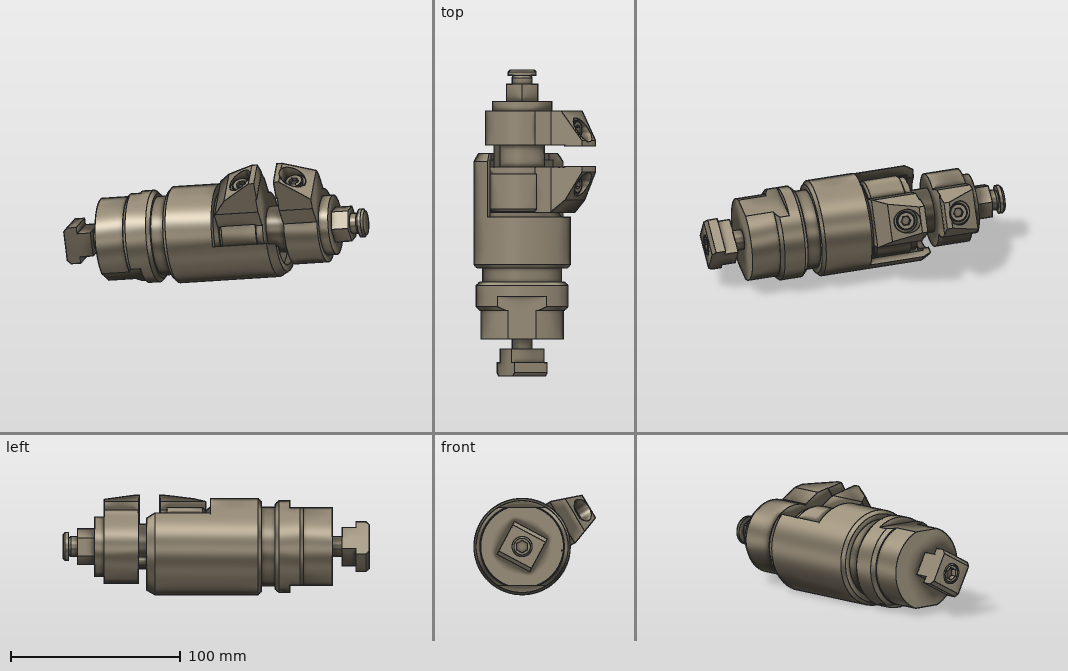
import cadquery as cq
import math


LENGTH = 180.6

ROD_RADIUS = 6.0
ROD_CHAMFER = 1.0
ROD_SOCKET_FLATS = 6.5
ROD_SOCKET_DEPTH = 3.6
CAP_RADIUS = 8.3
CAP_THICKNESS = 3.3
CAP_CHAMFER = 1.3
CAP_GROOVE_RADIUS = 5.2
CAP_GROOVE_LENGTH = 1.5

TNUT_SIDE = 21.9
TNUT_HEAD_HEIGHT = 8.0
TNUT_HEIGHT = 16.0
TNUT_NECK_WIDTH = 14.1
TNUT_CHAMFER = 2.2
TNUT_ANGLE = 28

HOUSING_DIAMETER = 56.9
HOUSING_RADIUS = HOUSING_DIAMETER / 2
HOUSING_START = 21.9
HOUSING_END = 131.3
SHANK_RADIUS = 24.4
FLAT_OFFSET = 23.0
FLAT_END = 47.0
FLANGE_RADIUS = 27.1
FLANGE_START = 38.8
FLANGE_END = 55.6
FLANGE_CHAMFER = 2.2
GROOVE_RADIUS = 23.3
BARREL_START = 63.8
BARREL_CHAMFER = 2.0
MOUTH_CHAMFER_RADIAL = 2.7
MOUTH_CHAMFER_LENGTH = 4.9
BORE_RADIUS = 23.5
BORE_FLOOR = 93.8
LIP_RADIUS = 21.9
LIP_LENGTH = 3.8
WINDOW_SILL_Z = -15.0
WINDOW_CORNER_X = -11.0
WINDOW_LEAN = 15

ARM_ANGLE = 31
EYE_RADIUS = 21.7
ARM_HALF_WIDTH = 14.1
ARM_ROOT = 17.2
ARM_TAPER_START = 28.4
TIP_REACH = 45.9
TIP_HALF_WIDTH = 7.8
TIP_THICKNESS = 3.3
PAD_START = 36.0
PAD_HEIGHT = 0.5

LOWER_GRIP = 123.7
LOWER_BACK = 96.5
LOWER_NOSE_SLOPE = 30
LOWER_SCREW_Y = 113.3
LOWER_CHAMFER_START = 27.6
LOWER_CHAMFER_TOP = 103.9
HUB_RADIUS = 23.1
HUB_END = 119.2
HUB_CHAMFER = 2.0
NECK_RADIUS = 13.2

UPPER_GRIP = 135.7
UPPER_BACK = 156.5
UPPER_NOSE_SLOPE = 34
UPPER_SCREW_Y = 145.2

COUNTERBORE_RADIUS = 7.0
COUNTERBORE_FLOOR = 36.3
SCREW_RADIUS = 5.5
SCREW_LENGTH = 7.2
SCREW_HEAD = 38.3
SCREW_CHAMFER = 0.5
SCREW_SOCKET_FLATS = 5.0
SCREW_SOCKET_DEPTH = 2.7

WASHER_RADIUS = 17.5
WASHER_THICKNESS = 5.6
NUT_CORNER_RADIUS = 10.7
NUT_HEIGHT = 10.1
NUT_ANGLE = 1
PIN_RADIUS = 2.3
PIN_OFFSET = 16.6
PIN_DEPTH = 5.5

LOWER_TOP = LOWER_GRIP - PAD_HEIGHT
UPPER_BOTTOM = UPPER_GRIP + PAD_HEIGHT
WASHER_END = UPPER_BACK + WASHER_THICKNESS
NUT_END = WASHER_END + NUT_HEIGHT
CLEAR = 2 * HOUSING_RADIUS
POINT_UP = 30


def turned(profile):
    """Solid of revolution about Y from (radius, y) points."""
    return cq.Workplane("XY").polyline(profile).close().revolve(360, (0, 0, 0), (0, 1, 0))


def cylinder(radius, start, end, x=0, z=0):
    """Cylinder along Y."""
    return cq.Workplane("XZ", origin=(0, start, 0)).center(x, z).circle(radius).extrude(start - end)


def prism(outline, start, end):
    """Outline of (x, z) points, extruded along Y."""
    return cq.Workplane("XZ", origin=(0, start, 0)).polyline(outline).close().extrude(start - end)


def turned_about_y(body, angle):
    """Body turned about Y, positive from +X towards +Z."""
    return body.rotate((0, 0, 0), (0, 1, 0), -angle)


def hexagon(workplane, across_flats):
    """Hexagon sketch of the given size across its flats."""
    return workplane.polygon(6, across_flats / math.cos(math.pi / 6))


def make_spindle():
    cap_start = LENGTH - CAP_THICKNESS
    profile = [
        (0, 0),
        (ROD_RADIUS - ROD_CHAMFER, 0),
        (ROD_RADIUS, ROD_CHAMFER),
        (ROD_RADIUS, cap_start - CAP_GROOVE_LENGTH),
        (CAP_GROOVE_RADIUS, cap_start),
        (CAP_RADIUS, cap_start),
        (CAP_RADIUS, LENGTH - CAP_CHAMFER),
        (CAP_RADIUS - CAP_CHAMFER, LENGTH),
        (0, LENGTH),
    ]
    socket = hexagon(cq.Workplane("XZ"), ROD_SOCKET_FLATS).extrude(-ROD_SOCKET_DEPTH)
    socket = turned_about_y(socket, POINT_UP)
    return turned(profile).cut(socket)


def make_tnut():
    half = TNUT_SIDE / 2
    neck = TNUT_NECK_WIDTH / 2
    section = [
        (0, -half + TNUT_CHAMFER),
        (0, half - TNUT_CHAMFER),
        (TNUT_CHAMFER, half),
        (TNUT_HEAD_HEIGHT, half),
        (TNUT_HEAD_HEIGHT, neck),
        (TNUT_HEIGHT, neck),
        (TNUT_HEIGHT, -neck),
        (TNUT_HEAD_HEIGHT, -neck),
        (TNUT_HEAD_HEIGHT, -half),
        (TNUT_CHAMFER, -half),
    ]
    block = cq.Workplane("YZ", origin=(-half, 0, 0)).polyline(section).close().extrude(TNUT_SIDE)
    block = turned_about_y(block, -TNUT_ANGLE)
    return block.cut(cylinder(ROD_RADIUS, 0, TNUT_HEIGHT))


def make_housing():
    outside = [
        (ROD_RADIUS, HOUSING_START),
        (SHANK_RADIUS, HOUSING_START),
        (SHANK_RADIUS, FLANGE_START),
        (FLANGE_RADIUS - FLANGE_CHAMFER, FLANGE_START),
        (FLANGE_RADIUS, FLANGE_START + FLANGE_CHAMFER),
        (FLANGE_RADIUS, FLANGE_END - FLANGE_CHAMFER),
        (FLANGE_RADIUS - FLANGE_CHAMFER, FLANGE_END),
        (GROOVE_RADIUS, FLANGE_END),
        (GROOVE_RADIUS, BARREL_START),
        (HOUSING_RADIUS - BARREL_CHAMFER, BARREL_START),
        (HOUSING_RADIUS, BARREL_START + BARREL_CHAMFER),
        (HOUSING_RADIUS, HOUSING_END - MOUTH_CHAMFER_LENGTH),
        (HOUSING_RADIUS - MOUTH_CHAMFER_RADIAL, HOUSING_END),
    ]
    bore = [
        (LIP_RADIUS, HOUSING_END),
        (LIP_RADIUS, HOUSING_END - LIP_LENGTH),
        (BORE_RADIUS, HOUSING_END - LIP_LENGTH),
        (BORE_RADIUS, BORE_FLOOR),
    ]
    cone_top = [(HUB_RADIUS - HUB_CHAMFER, LOWER_BACK), (ROD_RADIUS, LOWER_BACK)]
    body = turned(outside + bore + cone_top)
    return body.cut(wrench_flats()).cut(window())


def wrench_flats():
    """Material above and below the two flats of the shank."""
    length = FLAT_END - HOUSING_START
    slab = cq.Workplane("XY").box(CLEAR, length, CLEAR, centered=(True, False, False))
    upper = slab.translate((0, HOUSING_START, FLAT_OFFSET))
    return upper.union(upper.mirror("XY"))


def window():
    """Side opening through the barrel wall, open towards the mouth, where the lower arm swings."""
    rise = CLEAR - WINDOW_SILL_Z
    top_x = WINDOW_CORNER_X - rise * math.tan(math.radians(WINDOW_LEAN))
    outline = [(WINDOW_CORNER_X, WINDOW_SILL_Z), (CLEAR, WINDOW_SILL_Z), (CLEAR, CLEAR), (top_x, CLEAR)]
    opening = prism(outline, BORE_FLOOR, HOUSING_END)
    return opening.cut(cylinder(BORE_RADIUS, BORE_FLOOR, LOWER_BACK))


def nose_reach(height, slope):
    """Reach of the sloping nose face at a distance from the grip pad."""
    return TIP_REACH - (height - TIP_THICKNESS) * math.tan(math.radians(slope))


def make_arm(grip, back, nose):
    """Arm along +X from its grip pad level to its back; nose holds the (reach, y) points of its end."""
    side = 1 if back > grip else -1
    face = grip + side * PAD_HEIGHT
    plan = [
        (ARM_ROOT, ARM_HALF_WIDTH),
        (ARM_TAPER_START, ARM_HALF_WIDTH),
        (TIP_REACH, TIP_HALF_WIDTH),
        (TIP_REACH, -TIP_HALF_WIDTH),
        (ARM_TAPER_START, -ARM_HALF_WIDTH),
        (ARM_ROOT, -ARM_HALF_WIDTH),
    ]
    start, end = min(grip, back), max(grip, back)
    elevation = [
        (0, face),
        (PAD_START, face),
        (PAD_START, grip),
        (TIP_REACH, grip),
        (TIP_REACH, grip + side * TIP_THICKNESS),
        *nose,
        (0, back),
    ]
    outline = cq.Workplane("XY").polyline(elevation).close().extrude(EYE_RADIUS, both=True)
    beam = prism(plan, start, end).intersect(outline)
    eye = cylinder(EYE_RADIUS, min(face, back), max(face, back))
    return eye.union(beam)


def rod_along_arm(radius, start, end, y):
    """Cylinder along +X at a level y."""
    return cq.Workplane("YZ", origin=(start, y, 0)).circle(radius).extrude(end - start)


def screw_blank(y):
    return rod_along_arm(SCREW_RADIUS, SCREW_HEAD - SCREW_LENGTH, SCREW_HEAD, y)


def screw_hole(y):
    counterbore = rod_along_arm(COUNTERBORE_RADIUS, COUNTERBORE_FLOOR, TIP_REACH, y)
    return counterbore.union(screw_blank(y))


def make_screw(y):
    blank = screw_blank(y).faces(">X").chamfer(SCREW_CHAMFER)
    sketch = cq.Workplane("YZ", origin=(SCREW_HEAD, y, 0))
    socket = hexagon(sketch, SCREW_SOCKET_FLATS).extrude(-SCREW_SOCKET_DEPTH)
    return turned_about_y(blank.cut(socket), ARM_ANGLE)


def make_lower_arm():
    """Lower arm with the hub that sits in the housing bore and the neck that carries the upper arm."""
    chamfer_reach = nose_reach(LOWER_GRIP - LOWER_CHAMFER_TOP, LOWER_NOSE_SLOPE)
    nose = [(chamfer_reach, LOWER_CHAMFER_TOP), (LOWER_CHAMFER_START, LOWER_BACK)]
    hub = turned([
        (0, LOWER_BACK),
        (HUB_RADIUS - HUB_CHAMFER, LOWER_BACK),
        (HUB_RADIUS, LOWER_BACK + HUB_CHAMFER),
        (HUB_RADIUS, HUB_END),
        (0, HUB_END),
    ])
    neck = cylinder(NECK_RADIUS, LOWER_TOP, UPPER_BOTTOM)
    arm = make_arm(LOWER_GRIP, LOWER_BACK, nose).union(hub).union(neck)
    arm = arm.cut(cylinder(ROD_RADIUS, LOWER_BACK, UPPER_BOTTOM))
    return turned_about_y(arm.cut(screw_hole(LOWER_SCREW_Y)), ARM_ANGLE).cut(make_pin())


def make_upper_arm():
    nose = [(nose_reach(UPPER_BACK - UPPER_GRIP, UPPER_NOSE_SLOPE), UPPER_BACK)]
    arm = make_arm(UPPER_GRIP, UPPER_BACK, nose)
    arm = arm.cut(cylinder(ROD_RADIUS, UPPER_BOTTOM, UPPER_BACK))
    return turned_about_y(arm.cut(screw_hole(UPPER_SCREW_Y)), ARM_ANGLE).cut(make_pin())


def make_pin():
    """Pin parallel to the spindle, on the side of it opposite the arms."""
    pin = cylinder(PIN_RADIUS, LOWER_TOP - PIN_DEPTH, UPPER_BOTTOM + PIN_DEPTH, -PIN_OFFSET, 0)
    return turned_about_y(pin, ARM_ANGLE)


def make_washer():
    return cylinder(WASHER_RADIUS, UPPER_BACK, WASHER_END).cut(cylinder(ROD_RADIUS, UPPER_BACK, WASHER_END))


def make_nut():
    blank = cq.Workplane("XZ", origin=(0, WASHER_END, 0)).polygon(6, 2 * NUT_CORNER_RADIUS).extrude(-NUT_HEIGHT)
    blank = turned_about_y(blank, POINT_UP + NUT_ANGLE)
    return blank.cut(cylinder(ROD_RADIUS, WASHER_END, NUT_END))


spindle = make_spindle()
tnut = make_tnut()
housing = make_housing()
lower_arm = make_lower_arm()
upper_arm = make_upper_arm()
pin = make_pin()
washer = make_washer()
nut = make_nut()
screws = [make_screw(y).val() for y in (LOWER_SCREW_Y, UPPER_SCREW_Y)]

result = cq.Compound.makeCompound([
    spindle.val(),
    tnut.val(),
    housing.val(),
    lower_arm.val(),
    upper_arm.val(),
    pin.val(),
    washer.val(),
    nut.val(),
    *screws,
])